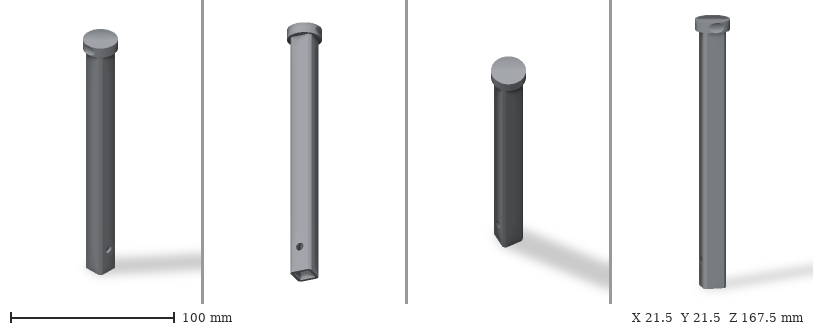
import cadquery as cq

total_length = 167.5
head_diameter = 21.5
head_height = 6.7
shaft_width = 14.0
corner_diameter = 17.8
wall_thickness = 2.0

hole_diameter = 5.0
hole_height = 16.4

groove_radius = 4.5
groove_depth = 1.2

shaft_length = total_length - head_height


def make_shaft():
    """Square tube, open below, whose long corners are trimmed to a common cylinder."""
    bar = cq.Workplane("XY").rect(shaft_width, shaft_width).extrude(shaft_length)
    corner_cylinder = cq.Workplane("XY").circle(corner_diameter / 2).extrude(shaft_length)
    bore_width = shaft_width - 2 * wall_thickness
    bore = cq.Workplane("XY").rect(bore_width, bore_width).extrude(shaft_length)
    return bar.intersect(corner_cylinder).cut(bore)


def make_head():
    """Round disc on top of the shaft."""
    return (
        cq.Workplane("XY")
        .workplane(offset=shaft_length)
        .circle(head_diameter / 2)
        .extrude(head_height)
    )


def cylinder_along_x(diameter, y, z):
    """Cutter parallel to X, long enough to cross the whole part."""
    return (
        cq.Workplane("YZ")
        .center(y, z)
        .circle(diameter / 2)
        .extrude(head_diameter, both=True)
    )


cross_hole = cylinder_along_x(hole_diameter, 0, hole_height)

groove_axis_y = -(head_diameter / 2 - groove_depth + groove_radius)
groove_axis_z = shaft_length + head_height / 2
head_groove = cylinder_along_x(2 * groove_radius, groove_axis_y, groove_axis_z)

result = make_shaft().union(make_head()).cut(cross_hole).cut(head_groove)